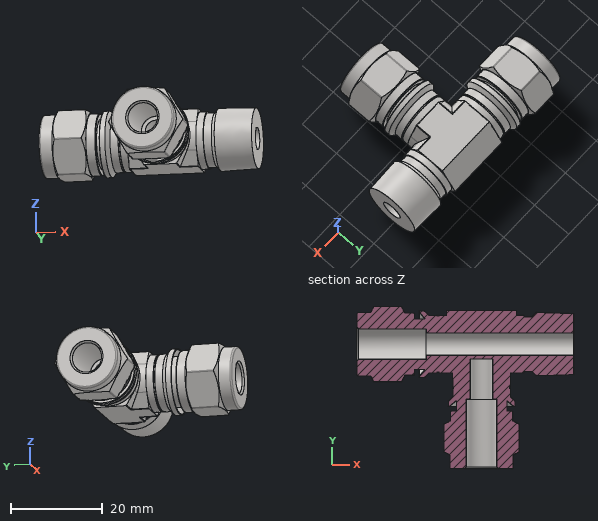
import cadquery as cq
import math


OVERALL_LENGTH = 47.2
ARM_LENGTH = 27.15
MALE_LENGTH = OVERALL_LENGTH - ARM_LENGTH

BODY_HALF_LENGTH = 7.65
BODY_INRADIUS = 12.7 / 2
PAD_TOP = 6.45
PAD_HALF_WIDTH = 3.55

BARREL_RADIUS = 12.6 / 2
MARK_GROOVE_RADIUS = 12.3 / 2
FLANGE_RADIUS = 14.6 / 2
FLANGE_RECESS_RADIUS = 14.05 / 2
NECK_RADIUS = 11.1 / 2
COLLAR_RADIUS = 13.6 / 2
NUT_END_RADIUS = 13.9 / 2

MARK_GROOVE_START = 9.3
MARK_GROOVE_END = 9.65
FLANGE_CONE_START = 11.42
FLANGE_START = 12.35
FLANGE_END = 13.6
FLANGE_RECESS_START = 12.35
COLLAR_START = 14.55
HEX_START = 16.65
HEX_END = 24.15

HEX_ACROSS_FLATS = 14.3
HEX_CORNER_RADIUS = HEX_ACROSS_FLATS / math.sqrt(3)
HEX_CHAMFER_ANGLE = math.radians(30)
HEX_EDGE_FILLET = 0.25
NUT_END_FILLET = 0.4
COLLAR_CHAMFER = 0.15

THROUGH_RADIUS = 4.8 / 2
SOCKET_RADIUS = 6.55 / 2
SOCKET_DEPTH = 15.1
SOCKET_CHAMFER = 0.42

MALE_BARREL_END = 9.25
MALE_NECK_RADIUS = 12.0 / 2
MALE_NECK_END = 11.0
MALE_CONE_END = 11.85
MALE_RADIUS = 13.9 / 2
MALE_TAPER = 1 / 16


def revolve_about_x(points):
    """Solid of revolution about X; points are (x, radius) and the axis closes the outline."""
    outline = [(points[0][0], 0)] + points + [(points[-1][0], 0)]
    return cq.Workplane("XY").polyline(outline).close().revolve(360, (0, 0, 0), (1, 0, 0))


def cylinder_along_x(radius, start, end):
    return cq.Workplane("YZ").workplane(offset=start).circle(radius).extrude(end - start)


def hexagon_along_x(across_flats, start, end):
    """Hexagonal bar with flats facing +Z and -Z."""
    across_corners = 2 * across_flats / math.sqrt(3)
    return cq.Workplane("YZ").workplane(offset=start).polygon(6, across_corners).extrude(end - start)


def turn_to_branch(shape):
    """Swing a shape lying along +X round to -Y."""
    return shape.rotate((0, 0, 0), (0, 0, 1), -90)


def turn_to_run(shape):
    """Swing a shape lying along +X round to -X."""
    return shape.rotate((0, 0, 0), (0, 0, 1), 180)


def rounded_hexagon_along_x(start, end):
    """Body bar: a hexagonal bar whose side corners are rounded to its inscribed radius."""
    across_flats = 2 * BODY_INRADIUS
    tangent_width = across_flats * math.cos(math.radians(30))
    slab = cq.Workplane("XY").box(end - start, tangent_width, across_flats)
    slab = slab.translate(((start + end) / 2, 0, 0))
    bar = hexagon_along_x(across_flats, start, end).intersect(slab)
    return bar.union(cylinder_along_x(BODY_INRADIUS, start, end))


def tee_body():
    """Tee with sharp corners along its back, rounded corners elsewhere and raised T pads."""
    half = BODY_HALF_LENGTH
    back_half = cq.Workplane("XY").box(2 * half, 2 * half, 2 * half).translate((0, half, 0))
    back = hexagon_along_x(2 * BODY_INRADIUS, -half, half).intersect(back_half)
    run = rounded_hexagon_along_x(-half, half)
    branch = turn_to_branch(rounded_hexagon_along_x(0, half))

    back_edge_y = (2 * BODY_INRADIUS - PAD_TOP) / math.sqrt(3)
    back_foot_y = BODY_INRADIUS / math.sqrt(3)
    run_pad = (
        cq.Workplane("YZ")
        .workplane(offset=-half)
        .polyline(
            [
                (-PAD_HALF_WIDTH, -PAD_TOP),
                (back_edge_y, -PAD_TOP),
                (back_foot_y, -BODY_INRADIUS),
                (back_foot_y, BODY_INRADIUS),
                (back_edge_y, PAD_TOP),
                (-PAD_HALF_WIDTH, PAD_TOP),
            ]
        )
        .close()
        .extrude(2 * half)
    )
    branch_pad = cq.Workplane("XY").box(2 * PAD_HALF_WIDTH, half, 2 * PAD_TOP).translate((0, -half / 2, 0))
    return run.union(branch).union(back).union(run_pad).union(branch_pad)


def nut_hexagon():
    """Hexagonal nut section with its corners turned off conically at both ends."""
    cone_length = (HEX_CORNER_RADIUS - NUT_END_RADIUS) * math.tan(HEX_CHAMFER_ANGLE)
    turned = revolve_about_x(
        [
            (HEX_START, NUT_END_RADIUS),
            (HEX_START + cone_length, HEX_CORNER_RADIUS),
            (HEX_END - cone_length, HEX_CORNER_RADIUS),
            (HEX_END, NUT_END_RADIUS),
        ]
    )
    bar = hexagon_along_x(HEX_ACROSS_FLATS, HEX_START, HEX_END).edges("|X").fillet(HEX_EDGE_FILLET)
    return bar.intersect(turned)


def nut_arm():
    """Arm along +X: marked barrel, flange with a conical recess, neck and tube nut."""
    barrel = revolve_about_x(
        [
            (0, BARREL_RADIUS),
            (MARK_GROOVE_START, BARREL_RADIUS),
            (MARK_GROOVE_START, MARK_GROOVE_RADIUS),
            (MARK_GROOVE_END, MARK_GROOVE_RADIUS),
            (MARK_GROOVE_END, BARREL_RADIUS),
            (FLANGE_CONE_START, BARREL_RADIUS),
            (FLANGE_START, FLANGE_RADIUS),
            (FLANGE_END, FLANGE_RADIUS),
            (FLANGE_END, FLANGE_RECESS_RADIUS),
            (FLANGE_RECESS_START, NECK_RADIUS),
            (COLLAR_START, NECK_RADIUS),
        ]
    )
    collar = cylinder_along_x(COLLAR_RADIUS, COLLAR_START, HEX_START).faces("<X").chamfer(COLLAR_CHAMFER)
    nut_end = cylinder_along_x(NUT_END_RADIUS, HEX_END, ARM_LENGTH).faces(">X").fillet(NUT_END_FILLET)
    return barrel.union(collar).union(nut_hexagon()).union(nut_end)


def nut_arm_bore(inner_end):
    """Bore along +X that starts at inner_end and widens into a chamfered tube socket."""
    socket_floor = ARM_LENGTH - SOCKET_DEPTH
    return revolve_about_x(
        [
            (inner_end, THROUGH_RADIUS),
            (socket_floor, THROUGH_RADIUS),
            (socket_floor, SOCKET_RADIUS),
            (ARM_LENGTH - SOCKET_CHAMFER, SOCKET_RADIUS),
            (ARM_LENGTH, SOCKET_RADIUS + SOCKET_CHAMFER),
        ]
    )


def male_arm():
    """Arm along +X: barrel, neck and tapered male end."""
    end_radius = MALE_RADIUS - (MALE_LENGTH - MALE_CONE_END) * MALE_TAPER / 2
    return revolve_about_x(
        [
            (0, BARREL_RADIUS),
            (MALE_BARREL_END, BARREL_RADIUS),
            (MALE_BARREL_END, MALE_NECK_RADIUS),
            (MALE_NECK_END, MALE_NECK_RADIUS),
            (MALE_CONE_END, MALE_RADIUS),
            (MALE_LENGTH, end_radius),
        ]
    )


arm = nut_arm()
run_bore = turn_to_run(nut_arm_bore(-MALE_LENGTH))

run_bore_wall = cylinder_along_x(SOCKET_RADIUS, -BODY_HALF_LENGTH, BODY_HALF_LENGTH)
branch_bore = turn_to_branch(nut_arm_bore(0)).cut(run_bore_wall)

result = (
    tee_body()
    .union(turn_to_run(arm))
    .union(turn_to_branch(arm))
    .union(male_arm())
    .cut(run_bore)
    .cut(branch_bore)
)